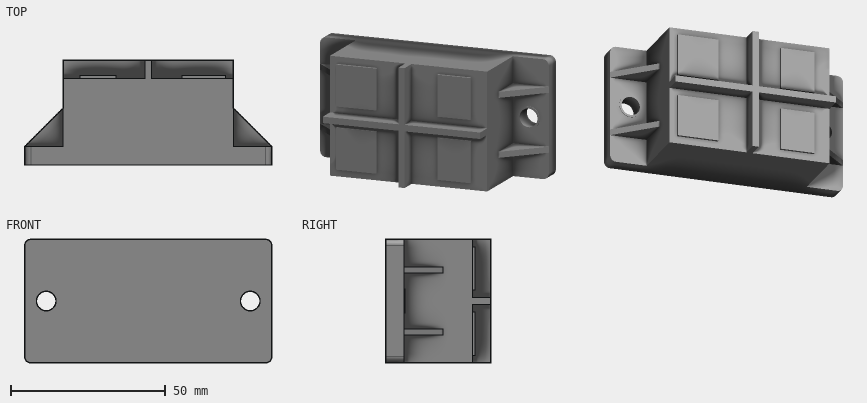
import cadquery as cq

plate_width = 80.0
plate_height = 40.0
plate_thickness = 6.0
corner_radius = 2.0

hole_diameter = 6.2
hole_spacing = 66.0
ring_diameter = 7.7
ring_height = 0.2

body_width = 55.0
body_end = 28.0

divider_end = 34.0
divider_thickness = 2.2

gusset_thickness = 2.0
gusset_spacing = 20.0
gusset_leg = (plate_width - body_width) / 2

pad_length = 14.0
pad_thickness = 1.0
left_pad_width = 11.6
left_pad_x = -16.2
right_pad_width = 14.0
right_pad_x = 17.9
pad_z = (plate_height + divider_thickness) / 4

overlap = 0.4


def block(width, height, y_start, y_end, x=0.0, z=0.0):
    """Box centred on (x, z) that spans y_start to y_end."""
    size = (width, y_end - y_start, height)
    return cq.Workplane("XY").box(*size).translate((x, (y_start + y_end) / 2, z))


def cylinder(diameter, y_start, y_end, x):
    """Cylinder along Y, centred on z = 0."""
    circle = cq.Workplane("XZ", origin=(x, y_start, 0)).circle(diameter / 2)
    return circle.extrude(y_start - y_end)


def gusset(side, z):
    """Triangular web on the left (side = -1) or right (side = 1) of the body."""
    wall_x = side * body_width / 2
    tip_x = side * plate_width / 2
    inner_x = wall_x - side * overlap
    top_y = plate_thickness + gusset_leg
    base_y = plate_thickness - overlap
    outline = [
        (inner_x, base_y),
        (tip_x, base_y),
        (tip_x, plate_thickness),
        (wall_x, top_y),
        (inner_x, top_y),
    ]
    bottom = z - gusset_thickness / 2
    return cq.Workplane("XY").workplane(offset=bottom).polyline(outline).close().extrude(gusset_thickness)


plate = block(plate_width, plate_height, 0, plate_thickness).edges("|Y").fillet(corner_radius)
body = block(body_width, plate_height, plate_thickness - overlap, body_end)
result = plate.union(body)

divider_start = body_end - overlap
result = result.union(block(body_width, divider_thickness, divider_start, divider_end))
result = result.union(block(divider_thickness, plate_height, divider_start, divider_end))

for z in (-pad_z, pad_z):
    for pad_x, pad_width in ((left_pad_x, left_pad_width), (right_pad_x, right_pad_width)):
        pad = block(pad_width, pad_length, divider_start, body_end + pad_thickness, pad_x, z)
        result = result.union(pad)

for side in (-1, 1):
    for z in (-gusset_spacing / 2, gusset_spacing / 2):
        result = result.union(gusset(side, z))
    hole_x = side * hole_spacing / 2
    ring_end = plate_thickness + ring_height
    result = result.union(cylinder(ring_diameter, plate_thickness - overlap, ring_end, hole_x))
    result = result.cut(cylinder(hole_diameter, 0, ring_end, hole_x))